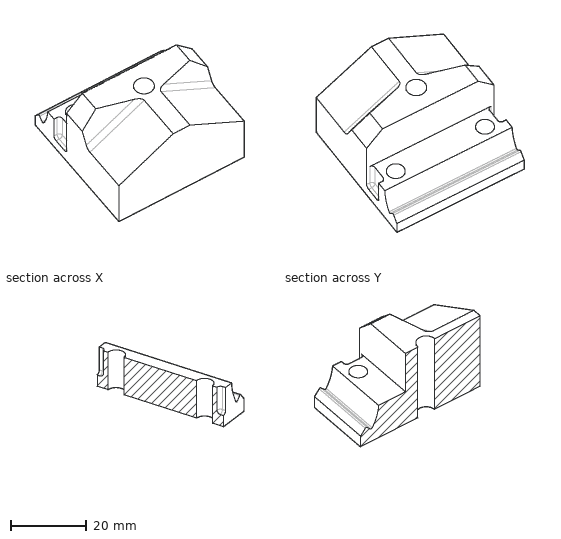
import cadquery as cq
import math

LENGTH = 40.0
WIDTH = 40.0
HEIGHT = 25.0
HALF_WIDTH = WIDTH / 2

LIP_HEIGHT = 3.9
LIP_PEAK_X = 1.85
LIP_PEAK_HEIGHT = 6.15
LIP_ROUND = 0.4
GROOVE_X = 3.65
GROOVE_ROUND = 0.35
STEP_START_X = 6.0
STEP_HEIGHT = 11.5
STEP_FACE_MID = (5.4, 8.1)
WALL_X = 15.0

SIDE_CHAMFER = 5.0

POCKET_LENGTH = 6.0
POCKET_DEPTH = 2.0
POCKET_FLOOR = 3.5
POCKET_ROUND = 1.0

ROOF_ANGLE = 30.0
ROOF_EAVE_HEIGHT = 15.0
ROOF_START_X = 25.0
ROOF_WALL_LEAN = 30.0
ROOF_ROUND = 2.0

STEP_HOLE_DIAMETER = 5.0
STEP_HOLE_X = 10.0
STEP_HOLE_Y = 14.0
HEAD_HOLE_DIAMETER = 5.5
HEAD_HOLE_X = 22.0


def make_body():
    """Extrude the side profile across the width, then chamfer the upper sides."""
    groove_z = LIP_PEAK_HEIGHT - (GROOVE_X - LIP_PEAK_X)
    body = (
        cq.Workplane("XZ", origin=(0, HALF_WIDTH, 0))
        .moveTo(0, 0)
        .lineTo(0, LIP_HEIGHT)
        .lineTo(LIP_PEAK_X, LIP_PEAK_HEIGHT)
        .lineTo(GROOVE_X, groove_z)
        .threePointArc(STEP_FACE_MID, (STEP_START_X, STEP_HEIGHT))
        .lineTo(WALL_X, STEP_HEIGHT)
        .lineTo(WALL_X, HEIGHT)
        .lineTo(LENGTH, HEIGHT)
        .lineTo(LENGTH, 0)
        .close()
        .extrude(WIDTH)
    )
    body = body.edges(cq.NearestToPointSelector((LIP_PEAK_X, 0, LIP_PEAK_HEIGHT))).fillet(LIP_ROUND)
    body = body.edges(cq.NearestToPointSelector((GROOVE_X, 0, groove_z))).fillet(GROOVE_ROUND)
    return body.faces(">Z").edges("|X").chamfer(SIDE_CHAMFER)


def make_side_pocket():
    """Pocket on the -Y side, open to the top and side of the step."""
    return (
        cq.Workplane("XY", origin=(WALL_X - POCKET_LENGTH / 2, -HALF_WIDTH, POCKET_FLOOR))
        .rect(POCKET_LENGTH, 2 * POCKET_DEPTH)
        .extrude(STEP_HEIGHT - POCKET_FLOOR)
        .edges("|Z or <Z")
        .fillet(POCKET_ROUND)
    )


def make_roof_cut():
    """Space above the +Y roof slope, bounded in front by a leaning wall."""
    angle = math.radians(ROOF_ANGLE)
    ridge_y = HALF_WIDTH - (HEIGHT - ROOF_EAVE_HEIGHT) / math.tan(angle)
    cut_height = HEIGHT
    lean_offset = cut_height * math.tan(math.radians(ROOF_WALL_LEAN))
    slope_plane = cq.Plane(
        origin=(0, ridge_y, HEIGHT),
        xDir=(1, 0, 0),
        normal=(0, -math.cos(angle), math.sin(angle)),
    )
    return (
        cq.Workplane(slope_plane)
        .moveTo(ROOF_START_X, 0)
        .lineTo(LENGTH, 0)
        .lineTo(LENGTH, cut_height)
        .lineTo(ROOF_START_X - lean_offset, cut_height)
        .close()
        .extrude(WIDTH, both=True)
        .edges(cq.NearestToPointSelector((ROOF_START_X, ridge_y, HEIGHT)))
        .fillet(ROOF_ROUND)
    )


def make_hole(x, y, diameter):
    return cq.Workplane("XY").center(x, y).circle(diameter / 2).extrude(HEIGHT)


result = make_body()

for side_cut in (make_side_pocket(), make_roof_cut()):
    result = result.cut(side_cut).cut(side_cut.mirror("XZ"))

for hole_y in (-STEP_HOLE_Y, STEP_HOLE_Y):
    result = result.cut(make_hole(STEP_HOLE_X, hole_y, STEP_HOLE_DIAMETER))
result = result.cut(make_hole(HEAD_HOLE_X, 0, HEAD_HOLE_DIAMETER))